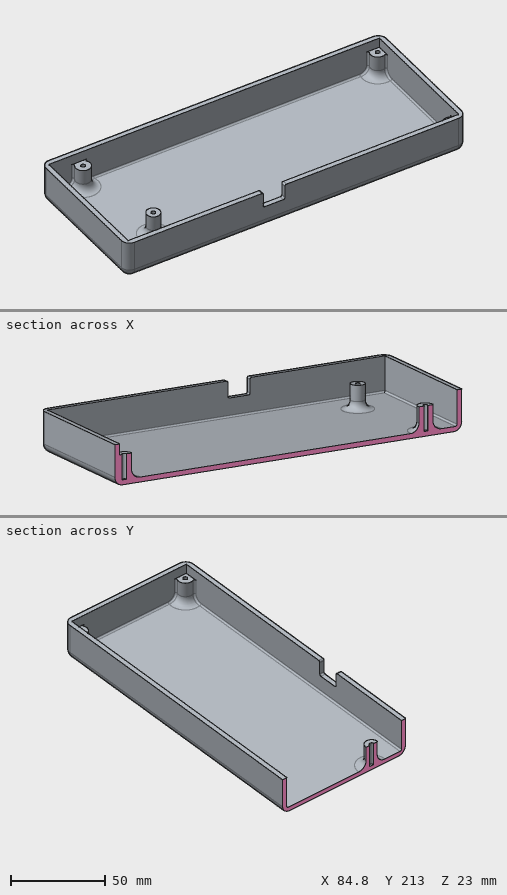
import cadquery as cq
import math

width = 84.75
length = 213.0
height = 23.0
wall = 3.0
floor = 3.0
corner_radius = 5.0
bottom_fillet = corner_radius
inner_fillet = 1.0
inner_x = width / 2 - wall
inner_y = length / 2 - wall

boss_top = 17.0
boss_rise = boss_top - floor
wall_boss_radius = 4.5
free_boss_radius = 4.0
flare_radius = 5.0
pilot_radius = 1.25
corner_boss_x = 36.25
corner_boss_y = 100.5
side_boss = (-35.5, -84.5)
free_boss = (19.0, -74.9)
bosses = [
    ((-corner_boss_x, corner_boss_y), wall_boss_radius),
    ((corner_boss_x, corner_boss_y), wall_boss_radius),
    (side_boss, wall_boss_radius),
    (free_boss, free_boss_radius),
]

notch_center_y = -14.0
notch_width = 13.5
notch_depth = 9.5
notch_round = 1.0

pick_margin = 0.1


def make_cavity():
    """Sharp-cornered space between the walls, from the floor to the rim."""
    cavity = cq.Workplane("XY").workplane(offset=floor)
    return cavity.rect(2 * inner_x, 2 * inner_y).extrude(height - floor)


def make_body():
    """Solid block with rounded upright corners and a rounded bottom edge."""
    body = cq.Workplane("XY").box(width, length, height, centered=(True, True, False))
    body = body.edges("|Z").fillet(corner_radius)
    return body.faces("<Z").edges().fillet(bottom_fillet)


def make_boss(center, radius):
    """Round boss with a foot that flares out tangent to the floor."""
    flare_top = floor + flare_radius
    foot_radius = radius + flare_radius
    flare_mid = flare_radius * (1 - math.cos(math.radians(45)))
    profile = (
        cq.Workplane("XZ")
        .moveTo(0, floor)
        .lineTo(foot_radius, floor)
        .threePointArc((radius + flare_mid, floor + flare_mid), (radius, flare_top))
        .lineTo(radius, boss_top)
        .lineTo(0, boss_top)
        .close()
    )
    return profile.revolve(360, (0, 0), (0, 1)).translate((*center, 0))


def make_pilot_hole(center):
    """Blind screw hole from the boss top down to the floor."""
    hole = cq.Workplane("XY").workplane(offset=floor).center(*center)
    return hole.circle(pilot_radius).extrude(boss_rise)


def make_notch():
    """Notch cutter with rounded bottom corners and rounded lips at the rim."""
    start_x = inner_x - wall / 2
    cutter_length = 2 * wall
    bottom = height - notch_depth
    opening = (
        cq.Workplane("YZ")
        .moveTo(-notch_width / 2, bottom)
        .hLine(notch_width)
        .vLine(notch_depth)
        .hLine(notch_width)
        .vLine(wall)
        .hLine(-3 * notch_width)
        .vLine(-wall)
        .hLine(notch_width)
        .close()
        .extrude(cutter_length)
    )
    rounded = cq.selectors.BoxSelector(
        (0, -notch_width / 2 - pick_margin, bottom - pick_margin),
        (cutter_length, notch_width / 2 + pick_margin, height + pick_margin),
    )
    opening = opening.edges("|X").edges(rounded).fillet(notch_round)
    return opening.translate((start_x, notch_center_y, 0))


def wall_foot_edges():
    """Selector for the edges where the walls meet the floor and the bosses."""
    x_clear = inner_x - pick_margin
    y_clear = inner_y - pick_margin
    low = floor - pick_margin
    high = boss_top - pick_margin
    box = cq.selectors.BoxSelector
    left_wall = box((-width, -y_clear, low), (-x_clear, y_clear, high))
    right_wall = box((x_clear, -y_clear, low), (width, y_clear, high))
    front_wall = box((-x_clear, -length, low), (x_clear, -y_clear, high))
    back_wall = box((-x_clear, y_clear, low), (x_clear, length, high))
    return left_wall + right_wall + front_wall + back_wall


cavity = make_cavity()
for center, radius in bosses:
    cavity = cavity.cut(make_boss(center, radius))
cavity = cavity.edges(wall_foot_edges()).fillet(inner_fillet)

result = make_body().cut(cavity).cut(make_notch())
for center, radius in bosses:
    result = result.cut(make_pilot_hole(center))